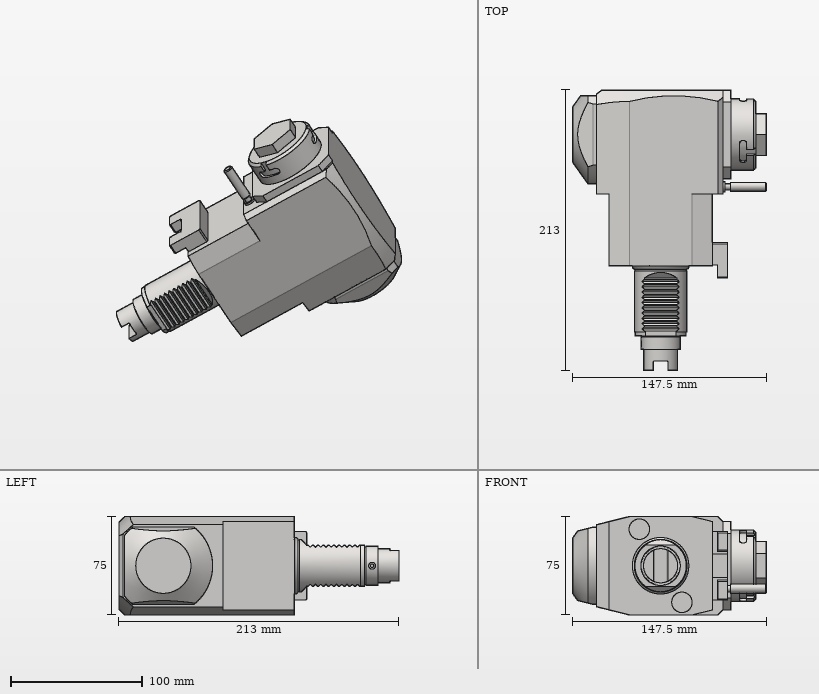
import cadquery as cq
import math

SPINDLE_Y = 99.75

HEIGHT = 75.0
HALF_HEIGHT = HEIGHT / 2
BACK_Y = 133.5
STEP_Y = 54.5
NARROW_X = 39.3
HEAD_LEFT_X = -48.8
HEAD_RIGHT_X = 47.5
SLOPE_X = 23.7
SLOPE = math.tan(math.radians(14))
HEAD_CHAMFER = 4.0
BACK_CORNER_X = 3.9
BACK_CORNER_Y = 3.0
CONE_X = 10.0
CONE_Y = -4.7
CONE_RADIUS = 134.0
PLUG_RADIUS = 7.8
PLUG_DEPTH = 1.0
PLUG_CENTRES = [(-16.2, 27.8), (16.2, -27.8)]

CAP_RADIUS = 37.5
CAP_FACE_RADIUS = 21.0
CAP_END_X = -67.0
CAP_CONE_X = -55.3
CAP_FLAT_X = -51.5
CAP_HALF_HEIGHT = 29.4
CAP_BACK_Y = 129.4

FLANGE_SIZE = 67.5
FLANGE_CORNER = 9.1
FLANGE_END_X = 53.4
NUT_RADIUS = 27.3
NUT_END_X = 72.5
NUT_CHAMFER = 2.0
NUT_SLOT_X = 62.8
NUT_SLOT_WIDTH = 5.4
NUT_SLOT_LENGTH = 19.5
NUT_NOTCH_WIDTH = 5.2
NUT_SLOT_FLOOR_RADIUS = 25.2
NUT_SLOT_COUNT = 3
NUT_FIRST_SLOT_ANGLE = 30.0
HEX_ACROSS_FLATS = 32.0
HEX_END_X = 80.5

PIN_Y = 60.0
PIN_Z = -17.5
PIN_RADIUS = 3.5
PIN_HEAD_RADIUS = 4.0
PIN_NECK_RADIUS = 2.5
PIN_HEAD_END_X = 49.0
PIN_START_X = 53.0
PIN_END_CHAMFER = 0.8

BLOCK_END_X = 51.0
BLOCK_LEG_X = 43.2
BLOCK_HALF_Z = 26.2
BLOCK_PAD_INNER_Z = 9.0
BLOCK_LEG_INNER_Z = 10.9
BLOCK_BAR_SETBACK = 1.2
BLOCK_PAD_SETBACK = 0.4
BLOCK_BACK_Y = 17.8
BLOCK_LEG_Y = -9.5
BLOCK_CHAMFER = 1.1
BLOCK_SIDE_CHAMFER = 0.5

COLLAR_RADIUS = 21.5
COLLAR_STRAIGHT_Y = -0.8
COLLAR_END_Y = -2.7
NECK_RADIUS = 19.6
NECK_END_Y = -3.9
SHANK_RADIUS = 20.0
SHANK_RELIEF_Y = -50.2
SHANK_RELIEF_RADIUS = 19.5
SHANK_END_Y = -53.4
GROOVE_RADIUS = 14.4
GROOVE_END_Y = -54.3
SPIGOT_RADIUS = 15.0
SPIGOT_END_Y = -63.6
DRIVE_RADIUS = 13.0
DRIVE_END_Y = -79.5
DRIVE_SLOT_WIDTH = 11.0
DRIVE_SLOT_DEPTH = 7.0
DRIVE_SLOT_FILLET = 0.7
SCREW_Y = -59.0
SCREW_RADIUS = 2.6
SCREW_DEPTH = 0.8
SOCKET_RADIUS = 1.3
SOCKET_DEPTH = 2.0

FLAT_Z = 15.7
FLAT_START_Y = -9.4
TOOTH_PITCH = 4.0
TOOTH_DEPTH = 1.5
TOOTH_COUNT = 10
FIRST_TOOTH_Y = -12.0
TOOTH_HALF_WIDTH = 1.6


def x_cylinder(radius, start_x, end_x, y, z):
    return cq.Workplane("YZ", origin=(start_x, y, z)).circle(radius).extrude(end_x - start_x)


def slope_height(x):
    """Height of the sloped faces of the housing at a distance x beyond the slope start."""
    return HALF_HEIGHT - (abs(x) - SLOPE_X) * SLOPE


def mirrored_outline(upper):
    """Closed XZ outline, symmetric about Z = 0, from its upper points."""
    lower = [(x, -z) for x, z in reversed(upper)]
    return cq.Workplane("XZ").polyline(upper + lower).close()


def make_housing():
    narrow = mirrored_outline([
        (-NARROW_X, slope_height(NARROW_X)),
        (-SLOPE_X, HALF_HEIGHT),
        (SLOPE_X, HALF_HEIGHT),
        (NARROW_X, slope_height(NARROW_X)),
    ]).extrude(-STEP_Y)
    head = mirrored_outline([
        (HEAD_LEFT_X, slope_height(HEAD_LEFT_X)),
        (-SLOPE_X, HALF_HEIGHT),
        (HEAD_RIGHT_X - HEAD_CHAMFER, HALF_HEIGHT),
        (HEAD_RIGHT_X, HALF_HEIGHT - HEAD_CHAMFER),
    ]).extrude(STEP_Y - BACK_Y).translate((0, STEP_Y, 0))
    back_corner = (
        cq.Workplane("XY", origin=(0, 0, -HALF_HEIGHT))
        .moveTo(HEAD_LEFT_X, BACK_Y)
        .lineTo(HEAD_LEFT_X + BACK_CORNER_X, BACK_Y)
        .lineTo(HEAD_LEFT_X, BACK_Y - BACK_CORNER_Y)
        .close()
        .extrude(HEIGHT)
    )
    housing = narrow.union(head.cut(back_corner).intersect(make_trimming_cone()))
    for x, z in PLUG_CENTRES:
        plug = cq.Workplane("XZ", origin=(x, 0, z)).circle(PLUG_RADIUS).extrude(-PLUG_DEPTH)
        housing = housing.cut(plug)
    return housing


def make_trimming_cone():
    """Two 45 degree cones joined at mid height; they bevel the back edges of the head."""
    return (
        cq.Workplane("XZ")
        .polyline([
            (0, -HALF_HEIGHT),
            (CONE_RADIUS, -HALF_HEIGHT),
            (CONE_RADIUS + HALF_HEIGHT, 0),
            (CONE_RADIUS, HALF_HEIGHT),
            (0, HALF_HEIGHT),
        ])
        .close()
        .revolve(360, (0, 0, 0), (0, 1, 0))
        .translate((CONE_X, CONE_Y, 0))
    )


def make_cap():
    turned = (
        cq.Workplane("XY")
        .polyline([
            (CAP_END_X, 0),
            (CAP_END_X, CAP_FACE_RADIUS),
            (CAP_CONE_X, CAP_RADIUS),
            (HEAD_LEFT_X, CAP_RADIUS),
            (HEAD_LEFT_X, 0),
        ])
        .close()
        .revolve(360, (0, 0, 0), (1, 0, 0))
        .translate((0, SPINDLE_Y, 0))
    )
    end_height = CAP_HALF_HEIGHT - (CAP_FLAT_X - CAP_END_X) * SLOPE
    envelope = mirrored_outline([
        (CAP_END_X, end_height),
        (CAP_FLAT_X, CAP_HALF_HEIGHT),
        (HEAD_LEFT_X, CAP_HALF_HEIGHT),
    ]).extrude(-CAP_BACK_Y)
    return turned.intersect(envelope)


def make_flange():
    return (
        cq.Workplane("YZ", origin=(HEAD_RIGHT_X, SPINDLE_Y, 0))
        .rect(FLANGE_SIZE, FLANGE_SIZE)
        .extrude(FLANGE_END_X - HEAD_RIGHT_X)
        .edges("|X")
        .chamfer(FLANGE_CORNER)
    )


def make_nut():
    nut = x_cylinder(NUT_RADIUS, FLANGE_END_X, NUT_END_X, SPINDLE_Y, 0)
    nut = nut.faces(">X").edges().chamfer(NUT_CHAMFER)
    slot = (
        cq.Workplane("XY", origin=(NUT_SLOT_X, SPINDLE_Y, 0))
        .slot2D(NUT_SLOT_LENGTH, NUT_SLOT_WIDTH, 90)
        .extrude(NUT_RADIUS)
    )
    notch_length = NUT_END_X - NUT_SLOT_X
    notch = (
        cq.Workplane("XY", origin=(NUT_SLOT_X + notch_length / 2, SPINDLE_Y, 0))
        .rect(notch_length, NUT_NOTCH_WIDTH)
        .extrude(NUT_RADIUS)
    )
    core = x_cylinder(NUT_SLOT_FLOOR_RADIUS, FLANGE_END_X, NUT_END_X, SPINDLE_Y, 0)
    cutter = slot.union(notch).cut(core)
    axis_start = (0, SPINDLE_Y, 0)
    axis_end = (1, SPINDLE_Y, 0)
    for index in range(NUT_SLOT_COUNT):
        angle = NUT_FIRST_SLOT_ANGLE + index * 360 / NUT_SLOT_COUNT
        nut = nut.cut(cutter.rotate(axis_start, axis_end, angle))
    return nut


def make_hexagon():
    across_corners = HEX_ACROSS_FLATS / math.cos(math.radians(30))
    return (
        cq.Workplane("YZ", origin=(NUT_END_X, SPINDLE_Y, 0))
        .transformed(rotate=(0, 0, 90))
        .polygon(6, across_corners)
        .extrude(HEX_END_X - NUT_END_X)
    )


def make_pin():
    head = x_cylinder(PIN_HEAD_RADIUS, HEAD_RIGHT_X, PIN_HEAD_END_X, PIN_Y, PIN_Z)
    neck = x_cylinder(PIN_NECK_RADIUS, PIN_HEAD_END_X, PIN_START_X, PIN_Y, PIN_Z)
    body = x_cylinder(PIN_RADIUS, PIN_START_X, HEX_END_X, PIN_Y, PIN_Z)
    body = body.faces(">X").edges().chamfer(PIN_END_CHAMFER)
    return head.union(neck).union(body)


def corner_box(start, end):
    """Axis-aligned box between two opposite corners, smallest coordinates first."""
    size = [high - low for low, high in zip(start, end)]
    return cq.Workplane("XY").box(*size, centered=False).translate(start)


def make_locating_block():
    """A bar beside the housing with a pad and a forward leg at each end."""
    bar = (
        corner_box(
            (NARROW_X, BLOCK_BAR_SETBACK, -BLOCK_HALF_Z),
            (BLOCK_END_X, BLOCK_BACK_Y, BLOCK_HALF_Z),
        )
        .edges("|X and >Y")
        .chamfer(BLOCK_CHAMFER)
    )
    pad = corner_box(
        (NARROW_X, BLOCK_PAD_SETBACK, BLOCK_PAD_INNER_Z),
        (BLOCK_END_X, BLOCK_BAR_SETBACK, BLOCK_HALF_Z),
    )
    leg = (
        corner_box(
            (BLOCK_LEG_X, BLOCK_LEG_Y, BLOCK_LEG_INNER_Z),
            (BLOCK_END_X, BLOCK_PAD_SETBACK, BLOCK_HALF_Z),
        )
        .edges("|Z and <X and <Y")
        .chamfer(BLOCK_SIDE_CHAMFER)
        .edges("|X and <Y")
        .chamfer(BLOCK_CHAMFER)
    )
    end = pad.union(leg)
    return bar.union(end).union(end.mirror("XY"))


def make_shank():
    shank = (
        cq.Workplane("XY")
        .lineTo(COLLAR_RADIUS, 0)
        .lineTo(COLLAR_RADIUS, COLLAR_STRAIGHT_Y)
        .tangentArcPoint((NECK_RADIUS, COLLAR_END_Y), relative=False)
        .lineTo(NECK_RADIUS, NECK_END_Y)
        .lineTo(SHANK_RADIUS, NECK_END_Y)
        .lineTo(SHANK_RADIUS, SHANK_RELIEF_Y)
        .lineTo(SHANK_RELIEF_RADIUS, SHANK_RELIEF_Y)
        .lineTo(SHANK_RELIEF_RADIUS, SHANK_END_Y)
        .lineTo(GROOVE_RADIUS, SHANK_END_Y)
        .lineTo(GROOVE_RADIUS, GROOVE_END_Y)
        .lineTo(SPIGOT_RADIUS, GROOVE_END_Y)
        .lineTo(SPIGOT_RADIUS, SPIGOT_END_Y)
        .lineTo(DRIVE_RADIUS, SPIGOT_END_Y)
        .lineTo(DRIVE_RADIUS, DRIVE_END_Y)
        .lineTo(0, DRIVE_END_Y)
        .close()
        .revolve(360, (0, 0, 0), (0, 1, 0))
    )
    flat = make_serrated_flat()
    drive_slot = (
        cq.Workplane("XY")
        .box(DRIVE_SLOT_WIDTH, DRIVE_SLOT_DEPTH, 2 * DRIVE_RADIUS, centered=(True, False, True))
        .translate((0, DRIVE_END_Y, 0))
        .edges("|Z and >Y")
        .fillet(DRIVE_SLOT_FILLET)
    )
    screw = x_cylinder(SCREW_RADIUS, -SPIGOT_RADIUS, -SPIGOT_RADIUS + SCREW_DEPTH, SCREW_Y, 0)
    socket = x_cylinder(SOCKET_RADIUS, -SPIGOT_RADIUS, -SPIGOT_RADIUS + SOCKET_DEPTH, SCREW_Y, 0)
    for cutter in (flat, flat.mirror("XY"), drive_slot, screw, socket):
        shank = shank.cut(cutter)
    return shank


def make_serrated_flat():
    """Cutter for the upper flat: a 45 degree run-out ramp, then a row of V grooves."""
    ramp = COLLAR_RADIUS - FLAT_Z
    outline = [(FLAT_START_Y + ramp, COLLAR_RADIUS), (FLAT_START_Y, FLAT_Z)]
    for index in range(TOOTH_COUNT):
        y = FIRST_TOOTH_Y - index * TOOTH_PITCH
        outline += [
            (y + TOOTH_HALF_WIDTH, FLAT_Z),
            (y, FLAT_Z - TOOTH_DEPTH),
            (y - TOOTH_HALF_WIDTH, FLAT_Z),
        ]
    outline += [(SHANK_END_Y, FLAT_Z), (SHANK_END_Y, COLLAR_RADIUS)]
    return cq.Workplane("YZ").polyline(outline).close().extrude(SHANK_RADIUS, both=True)


result = make_housing()
for piece in (
    make_cap(),
    make_flange(),
    make_nut(),
    make_hexagon(),
    make_pin(),
    make_locating_block(),
    make_shank(),
):
    result = result.union(piece)